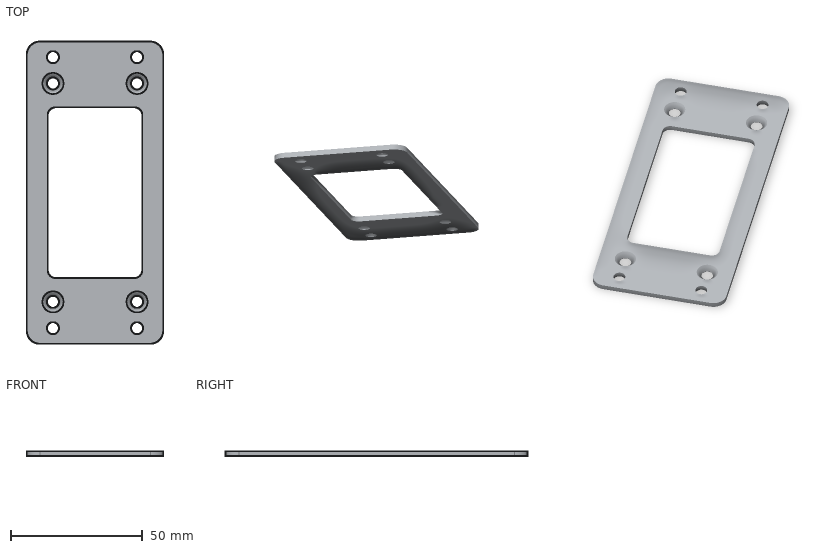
import cadquery as cq

width = 52.0
length = 115.0
thickness = 2.0
corner_radius = 5.1

window_width = 35.9
window_length = 64.9
window_corner = 3.0

hole_spacing_x = 32.0
plain_spacing_y = 103.0
plain_diameter = 4.5
countersunk_spacing_y = 83.0
countersunk_diameter = 4.5
countersink_diameter = 8.0
countersink_angle = 90.0


def make_plate():
    """Flat plate with rounded corners, resting on Z = 0 and centred in X and Y."""
    plate = cq.Workplane("XY").rect(width, length).extrude(thickness)
    return plate.edges("|Z").fillet(corner_radius)


def make_window():
    """Rectangular through opening with rounded corners."""
    window = cq.Workplane("XY").rect(window_width, window_length).extrude(thickness)
    return window.edges("|Z").fillet(window_corner)


def hole_centres(part, spacing_y):
    """Select the four corners of a hole pattern on the top face."""
    top = part.faces(">Z").workplane(origin=(0, 0, thickness))
    return top.rect(hole_spacing_x, spacing_y, forConstruction=True).vertices()


result = make_plate().cut(make_window())
result = hole_centres(result, plain_spacing_y).hole(plain_diameter)
result = hole_centres(result, countersunk_spacing_y).cskHole(
    countersunk_diameter, countersink_diameter, countersink_angle
)